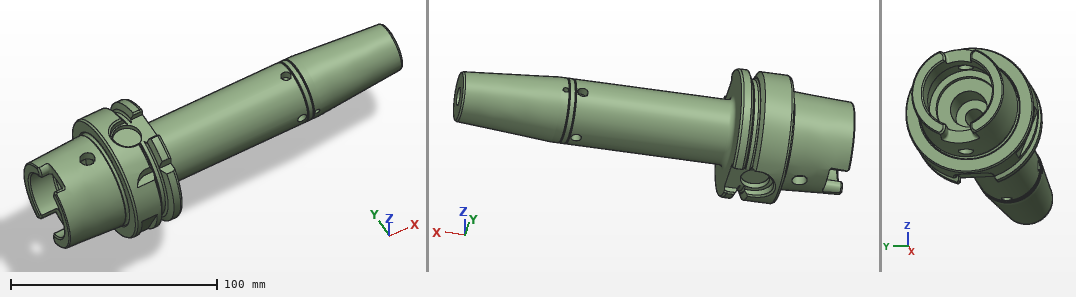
import cadquery as cq
import math


total_length = 192
shank_length = 32.0
nose_x = total_length - shank_length
shank_x = -shank_length

taper_end_radius = 22.7
taper_base_radius = 24.2
shank_chamfer = 0.5
relief_length = 1.7
relief_depth = 0.5
relief_corner_radius = 1.0
face_relief_depth = 0.5
face_relief_radius = 25.2

flange_radius = 31.5
flange_length = 26.1
flange_chamfer_length = 1.2
flange_chamfer_height = 0.5
groove_start_x = 16.1
groove_end_x = 19.5
groove_floor_radius = 27.3
groove_flank_radius = 28.6
groove_corner_radius = 0.8
groove_flank_angle = 30

body_radius = 16.0
body_fillet = 2.7
nose_taper_x = 112.3
nose_radius = 12.3
nose_chamfer_length = 1.0
nose_chamfer_height = 0.5
ring_groove_places = (105.0, 108.0)
ring_groove_width = 0.8
ring_groove_depth = 0.4

mouth_radius = 17.0
mouth_chamfer = 0.8
mouth_length = 13.0
clamp_radius = 18.8
clamp_end_depth = 27.8
seat_radius = 15.5
seat_depth = 30.7
tube_radius = 9.0
tube_depth = 46.0
tool_bore_radius = 4.5

slot_half_width = 6.1
slot_round_radius = 3.5
slot_round_z = 17.7
upper_slot_depth = 6.0
lower_slot_depth = 9.8
slot_floor_fillet = 1.2
slot_edge_chamfer = 1.0
slot_edge_angle = 45

upper_key_width = 16.0
lower_key_width = 18.0
key_center_x = 12.9
key_floor_z = 26.5
key_chamfer = 1.0
key_recess_radius = 7.1
key_recess_depth = 2.7

notch_y = -19.8
notch_z = 19.8
notch_corner_radius = 8.0
notch_tangent_x = 12.3
flat_start_x = 3.5
flat_end_x = 12.0
flat_length = 25
flat_tilt = 21.5

access_hole_x = shank_x + 22.8
access_hole_radius = 3.6
screw_hole_x = 101.5
screw_hole_radius = 2.5
screw_hole_count = 4
screw_hole_depth = 4.8
screw_tip_angle = 118
vent_hole_x = 110.0
vent_hole_radius = 1.3


def revolve_about_x(points):
    """Solid of revolution from (x, radius) points."""
    return cq.Workplane("XY").polyline(points).close().revolve(360, (0, 0, 0), (1, 0, 0))


def box(x_range, y_range, z_range):
    """Axis-aligned block between the given limits."""
    size = [high - low for low, high in (x_range, y_range, z_range)]
    corner = (x_range[0], y_range[0], z_range[0])
    return cq.Workplane("XY").box(*size, centered=False).translate(corner)


def around_x(shape, angle):
    """The shape turned about the part axis."""
    return shape.rotate((0, 0, 0), (1, 0, 0), angle)


def outer_body():
    """Shank, flange, body and nose turned in one profile."""
    relief_radius = taper_base_radius - relief_depth
    flank_run = (flange_radius - groove_flank_radius) * math.tan(math.radians(groove_flank_angle))
    arc_center = (flange_length + body_fillet, body_radius + body_fillet)
    arc_offset = body_fillet * math.sqrt(0.5)
    profile = (
        cq.Workplane("XY")
        .moveTo(shank_x, 0)
        .lineTo(shank_x, taper_end_radius - shank_chamfer)
        .lineTo(shank_x + shank_chamfer, taper_end_radius)
        .lineTo(-relief_length, taper_base_radius)
        .lineTo(-relief_length + relief_depth, relief_radius)
        .lineTo(face_relief_depth - relief_corner_radius, relief_radius)
        .radiusArc((face_relief_depth, relief_radius + relief_corner_radius), -relief_corner_radius)
        .lineTo(0, face_relief_radius)
        .lineTo(0, flange_radius - flange_chamfer_height)
        .lineTo(flange_chamfer_length, flange_radius)
        .lineTo(groove_start_x - flank_run, flange_radius)
        .lineTo(groove_start_x, groove_flank_radius)
        .lineTo(groove_start_x, groove_floor_radius + groove_corner_radius)
        .radiusArc((groove_start_x + groove_corner_radius, groove_floor_radius), -groove_corner_radius)
        .lineTo(groove_end_x - groove_corner_radius, groove_floor_radius)
        .radiusArc((groove_end_x, groove_floor_radius + groove_corner_radius), -groove_corner_radius)
        .lineTo(groove_end_x, groove_flank_radius)
        .lineTo(groove_end_x + flank_run, flange_radius)
        .lineTo(flange_length - flange_chamfer_length, flange_radius)
        .lineTo(flange_length, flange_radius - flange_chamfer_height)
        .lineTo(flange_length, arc_center[1])
        .threePointArc(
            (arc_center[0] - arc_offset, arc_center[1] - arc_offset),
            (arc_center[0], body_radius),
        )
    )
    for x in ring_groove_places:
        profile = (
            profile.lineTo(x - ring_groove_width / 2, body_radius)
            .lineTo(x, body_radius - ring_groove_depth)
            .lineTo(x + ring_groove_width / 2, body_radius)
        )
    profile = (
        profile.lineTo(nose_taper_x, body_radius)
        .lineTo(nose_x - nose_chamfer_length, nose_radius)
        .lineTo(nose_x, nose_radius - nose_chamfer_height)
        .lineTo(nose_x, 0)
        .close()
    )
    return profile.revolve(360, (0, 0, 0), (1, 0, 0))


def inner_bore():
    """Stepped bore: shank mouth, clamping recess, seat, tube hole and tool bore."""
    clamp_rise = clamp_radius - mouth_radius
    clamp_start_x = shank_x + mouth_length
    clamp_end_x = shank_x + clamp_end_depth
    seat_x = shank_x + seat_depth
    tube_x = shank_x + tube_depth
    return revolve_about_x([
        (shank_x, 0),
        (shank_x, mouth_radius + mouth_chamfer),
        (shank_x + mouth_chamfer, mouth_radius),
        (clamp_start_x, mouth_radius),
        (clamp_start_x + clamp_rise, clamp_radius),
        (clamp_end_x, clamp_radius),
        (clamp_end_x, seat_radius),
        (seat_x, seat_radius),
        (seat_x, tube_radius),
        (tube_x, tube_radius),
        (tube_x, tool_bore_radius),
        (nose_x, tool_bore_radius),
        (nose_x, 0),
    ])


def drive_slot_outline():
    """Drive slot section on the shank end face, with walls that round outwards."""
    arc_offset = slot_round_radius * math.sqrt(0.5)
    round_center_y = slot_half_width + slot_round_radius
    mid_y = round_center_y - arc_offset
    mid_z = slot_round_z + arc_offset
    end_z = slot_round_z + slot_round_radius
    return (
        cq.Workplane("YZ", origin=(shank_x, 0, 0))
        .moveTo(-slot_half_width, 0)
        .lineTo(-slot_half_width, slot_round_z)
        .threePointArc((-mid_y, mid_z), (-round_center_y, end_z))
        .lineTo(-flange_radius, end_z)
        .lineTo(-flange_radius, flange_radius)
        .lineTo(flange_radius, flange_radius)
        .lineTo(flange_radius, end_z)
        .lineTo(round_center_y, end_z)
        .threePointArc((mid_y, mid_z), (slot_half_width, slot_round_z))
        .lineTo(slot_half_width, 0)
        .close()
    )


def drive_slot(depth):
    """Slot on the +Z side of the shank end, with filleted floor and chamfered mouth."""
    flare = drive_slot_outline().offset2D(slot_edge_chamfer).extrude(slot_edge_chamfer, taper=slot_edge_angle)
    slot = drive_slot_outline().extrude(depth).faces(">X").edges("|Z").fillet(slot_floor_fillet)
    return slot.union(flare)


def key_outline(width, z):
    """Keyway plan shape at height z: round at the shank side, open at the body side."""
    half = width / 2
    return (
        cq.Workplane("XY", origin=(0, 0, z))
        .moveTo(flange_length, half)
        .lineTo(key_center_x, half)
        .threePointArc((key_center_x - half, 0), (key_center_x, -half))
        .lineTo(flange_length, -half)
        .close()
    )


def keyway(width):
    """Keyway on the +Z side with a round recess in its floor."""
    slot = key_outline(width, key_floor_z).extrude(flange_radius)
    recess = (
        cq.Workplane("XY", origin=(key_center_x, 0, key_floor_z - key_recess_depth))
        .circle(key_recess_radius)
        .extrude(key_recess_depth)
    )
    return slot.union(recess)


def chamfer_keyway_rim(part, width, side):
    """Chamfer the edges where a keyway meets the flange rim; side is +1 for +Z or -1 for -Z."""
    lowest_edge_z = math.sqrt((flange_radius - 2 * flange_chamfer_height) ** 2 - (width / 2) ** 2)
    z_low, z_high = sorted((side * lowest_edge_z, side * (flange_radius + key_chamfer)))
    rim_box = cq.selectors.BoxSelector(
        (0, -width, z_low),
        (flange_length + key_chamfer, width, z_high),
        boundingbox=True,
    )
    return part.edges(rim_box).chamfer(key_chamfer)


def orientation_notch():
    """Square-bottomed notch between keyway and side, ending in a round corner."""
    block = box(
        (notch_tangent_x - notch_corner_radius, flange_length),
        (notch_y - 3 * notch_corner_radius, notch_y),
        (notch_z, flange_radius),
    )
    return block.edges("|Z and <X").fillet(notch_corner_radius)


def flat_pocket():
    """Block that leaves a flat chord on the flange rim, tilted below the -Y side."""
    flat_distance = math.sqrt(flange_radius**2 - (flat_length / 2) ** 2)
    block = box((flat_start_x, flat_end_x), (-2 * flange_radius, -flat_distance), (-flat_length, flat_length))
    return around_x(block, flat_tilt)


def screw_hole():
    """Blind hole from the +Z side with a drill-point bottom."""
    tip = screw_hole_radius / math.tan(math.radians(screw_tip_angle / 2))
    floor_z = body_radius - screw_hole_depth
    return (
        cq.Workplane("XZ")
        .polyline([
            (0, floor_z - tip),
            (screw_hole_radius, floor_z),
            (screw_hole_radius, flange_radius),
            (0, flange_radius),
        ])
        .close()
        .revolve(360, (0, 0, 0), (0, 1, 0))
        .translate((screw_hole_x, 0, 0))
    )


def cross_hole(plane, x, radius):
    """Straight hole through the whole part, square to the given plane."""
    return cq.Workplane(plane).center(x, 0).circle(radius).extrude(flange_radius, both=True)


result = outer_body().cut(inner_bore())

result = result.cut(drive_slot(upper_slot_depth))
result = result.cut(around_x(drive_slot(lower_slot_depth), 180))
result = result.cut(keyway(upper_key_width))
result = result.cut(around_x(keyway(lower_key_width), 180))
result = chamfer_keyway_rim(result, upper_key_width, 1)
result = chamfer_keyway_rim(result, lower_key_width, -1)

result = result.cut(orientation_notch())
result = result.cut(flat_pocket())

result = result.cut(cross_hole("XY", access_hole_x, access_hole_radius))
result = result.cut(cross_hole("XZ", vent_hole_x, vent_hole_radius))
for index in range(screw_hole_count):
    result = result.cut(around_x(screw_hole(), index * 360 / screw_hole_count))